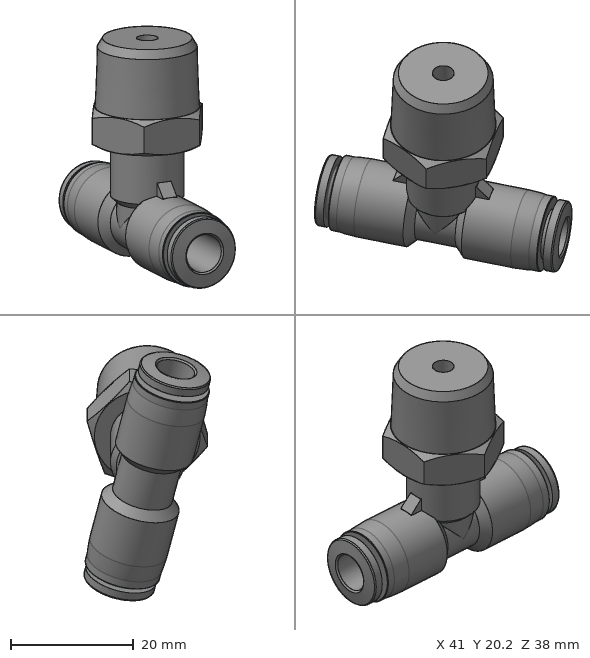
import cadquery as cq
import math

run_half_length = 20.5
run_radius = 13.0 / 2
run_end_radius = 12.5 / 2
waist_radius = 5.0
waist_half_length = 3.45
shoulder_x = waist_half_length + run_radius - waist_radius
taper_start_x = 13.3
taper_end_x = 16.28
run_end_x = 17.7
run_edge_chamfer = 0.12

collar_radius = 11.8 / 2
collar_back_x = 18.6
collar_rim_x = 19.93
collar_edge_x = 20.17
collar_edge_radius = 5.75
neck_radius = 8.35 / 2
neck_fillet = 0.35

bore_radius = 3.5 / 2
socket_radius = 6.35 / 2
socket_floor_x = shoulder_x
socket_chamfer = 0.3
mouth_radius = socket_radius + socket_chamfer

stem_radius = 12.0 / 2
stem_bottom_z = 5.0
stem_cone_height = stem_radius - waist_radius
hex_bottom_z = 13.95
hex_top_z = 20.0
hex_corner_diameter = 20.17
hex_chamfer_radius = 8.6
hex_chamfer_angle = 30.0
branch_top_z = 38.0 - run_radius
thread_chamfer_z = 30.05
thread_base_radius = 8.53
thread_end_radius = 8.15
branch_top_radius = 7.3

gusset_width = 2.55
gusset_top_z = 8.6
gusset_end_x = stem_radius + gusset_top_z - run_radius


def revolve_about_x(points):
    """Revolve an outline of (x, radius) points about the X axis."""
    return cq.Workplane("XY").polyline(points).close().revolve(360, (0, 0), (1, 0))


def revolve_about_z(points):
    """Revolve an outline of (radius, z) points about the Z axis."""
    return cq.Workplane("XZ").polyline(points).close().revolve(360, (0, 0), (0, 1))


def both_ends(half):
    """Join a +X half with its mirror image."""
    return half.union(half.mirror("YZ"))


def make_run():
    fillet_end_radius = neck_radius + neck_fillet
    fillet_start_x = collar_back_x - neck_fillet
    half = (
        cq.Workplane("XY")
        .moveTo(0, 0)
        .lineTo(0, waist_radius)
        .lineTo(waist_half_length, waist_radius)
        .lineTo(shoulder_x, run_radius)
        .lineTo(taper_start_x, run_radius)
        .tangentArcPoint((taper_end_x, run_end_radius), relative=False)
        .lineTo(run_end_x - run_edge_chamfer, run_end_radius)
        .lineTo(run_end_x, run_end_radius - run_edge_chamfer)
        .lineTo(run_end_x, neck_radius)
        .lineTo(fillet_start_x, neck_radius)
        .tangentArcPoint((collar_back_x, fillet_end_radius), relative=False)
        .lineTo(collar_back_x, collar_radius)
        .lineTo(collar_rim_x, collar_radius)
        .lineTo(collar_edge_x, collar_edge_radius)
        .lineTo(run_half_length, mouth_radius)
        .lineTo(run_half_length, 0)
        .close()
        .revolve(360, (0, 0), (1, 0))
    )
    return both_ends(half)


def make_stem():
    return revolve_about_z([
        (0, 0),
        (waist_radius, 0),
        (waist_radius, stem_bottom_z - stem_cone_height),
        (stem_radius, stem_bottom_z),
        (stem_radius, hex_bottom_z),
        (0, hex_bottom_z),
    ])


def make_hexagon():
    """Hexagon with corners on the Y axis and chamfered at both faces."""
    prism = (
        cq.Workplane("XY")
        .workplane(offset=hex_bottom_z)
        .polygon(6, hex_corner_diameter)
        .extrude(hex_top_z - hex_bottom_z)
        .rotate((0, 0, 0), (0, 0, 1), 90)
    )
    corner_radius = hex_corner_diameter / 2
    drop = (corner_radius - hex_chamfer_radius) * math.tan(math.radians(hex_chamfer_angle))
    envelope = revolve_about_z([
        (0, hex_bottom_z),
        (hex_chamfer_radius, hex_bottom_z),
        (corner_radius, hex_bottom_z + drop),
        (corner_radius, hex_top_z - drop),
        (hex_chamfer_radius, hex_top_z),
        (0, hex_top_z),
    ])
    return prism.intersect(envelope)


def make_thread():
    return revolve_about_z([
        (0, hex_top_z),
        (thread_base_radius, hex_top_z),
        (thread_end_radius, thread_chamfer_z),
        (branch_top_radius, branch_top_z),
        (0, branch_top_z),
    ])


def make_gussets():
    return (
        cq.Workplane("XZ")
        .polyline([
            (-gusset_end_x, run_radius),
            (-stem_radius, gusset_top_z),
            (stem_radius, gusset_top_z),
            (gusset_end_x, run_radius),
            (gusset_end_x, waist_radius),
            (-gusset_end_x, waist_radius),
        ])
        .close()
        .extrude(gusset_width / 2, both=True)
    )


def make_bores():
    run_bore_half = revolve_about_x([
        (0, 0),
        (0, bore_radius),
        (socket_floor_x, bore_radius),
        (socket_floor_x, socket_radius),
        (run_half_length - socket_chamfer, socket_radius),
        (run_half_length, mouth_radius),
        (run_half_length, 0),
    ])
    branch_bore = cq.Workplane("XY").circle(bore_radius).extrude(branch_top_z)
    return both_ends(run_bore_half).union(branch_bore)


body = make_run().union(make_stem()).union(make_hexagon()).union(make_thread()).union(make_gussets())
result = body.cut(make_bores())